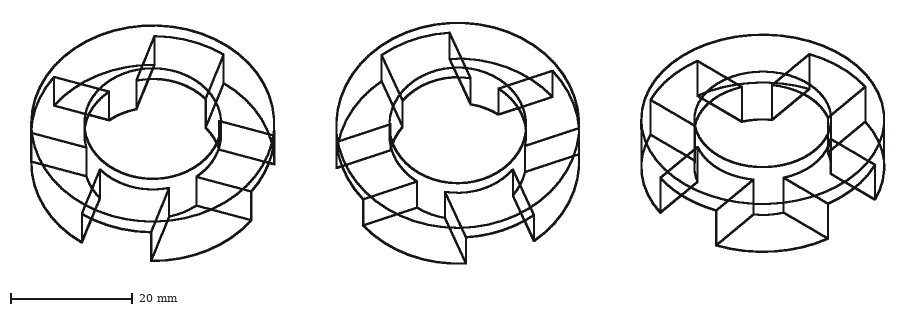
import cadquery as cq

outer_diameter = 40
bore_diameter = 22.5
total_height = 11.0
flange_thickness = 3.0
slot_width = 12

leg_height = total_height - flange_thickness


def slot_cutter(length_x, length_y):
    """Box through the part, from the bottom up to the underside of the flange."""
    return cq.Workplane("XY").box(length_x, length_y, leg_height, centered=(True, True, False))


ring = (
    cq.Workplane("XY")
    .circle(outer_diameter / 2)
    .circle(bore_diameter / 2)
    .extrude(total_height)
)

slot_along_x = slot_cutter(outer_diameter, slot_width)
slot_along_y = slot_cutter(slot_width, outer_diameter)

result = ring.cut(slot_along_x).cut(slot_along_y)